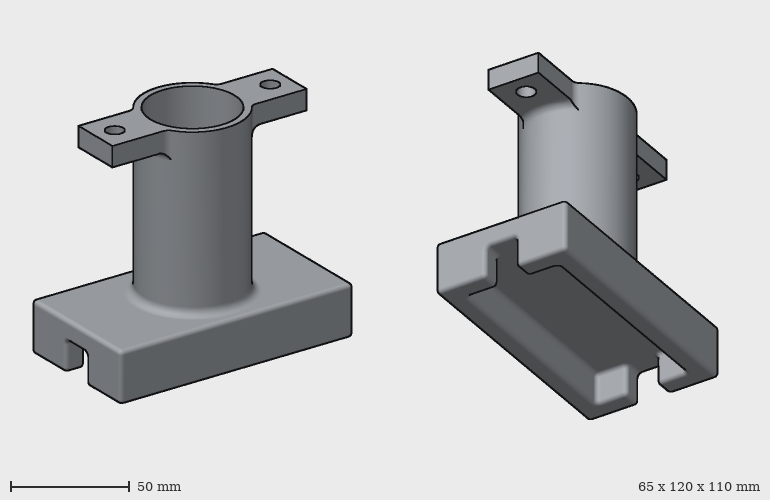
import cadquery as cq

base_length = 120.0
base_width = 65.0
base_height = 25.0
base_edge_radius = 2.0

base_wall = 10.0
pocket_depth = 15.0
slot_width = 15.0

part_height = 110.0
tube_diameter = 50.0
bore_diameter = 43.0

arm_span = 100.0
arm_width = 25.0
arm_thickness = 10.0
bolt_diameter = 8.5
bolt_spacing = 80.0

blend_radius = 4.0

tube_height = part_height - base_height
arm_underside = part_height - arm_thickness
pocket_length = base_length - 2 * base_wall
pocket_width = base_width - 2 * base_wall
selection_margin = 1.2


def standing_box(width, length, height):
    """Box centred in X and Y, standing on Z = 0."""
    return cq.Workplane("XY").box(width, length, height, centered=(True, True, False))


def make_base():
    """Block hollowed from below, slotted through both end walls, with every edge rounded."""
    pocket = standing_box(pocket_width, pocket_length, pocket_depth)
    slot = standing_box(slot_width, base_length, pocket_depth)
    block = standing_box(base_width, base_length, base_height)
    return block.cut(pocket.union(slot)).edges().fillet(base_edge_radius)


def make_tube_with_arms():
    """Solid tube body joined to the arm bar, with the arm roots blended into the tube."""
    tube = cq.Workplane("XY", origin=(0, 0, base_height)).circle(tube_diameter / 2).extrude(tube_height)
    arms = standing_box(arm_width, arm_span, arm_thickness).translate((0, 0, arm_underside))
    root_reach = tube_diameter / 2 + selection_margin
    arm_roots = cq.selectors.BoxSelector(
        (-root_reach, -root_reach, arm_underside - selection_margin),
        (root_reach, root_reach, part_height - selection_margin),
    )
    return tube.union(arms).edges(arm_roots).fillet(blend_radius)


def blend_tube_foot(body):
    """Round the corner where the tube stands on the base."""
    reach = tube_diameter / 2
    tube_foot = cq.selectors.BoxSelector(
        (-reach, -reach, base_height - selection_margin),
        (reach, reach, base_height + selection_margin),
    )
    return body.edges("%CIRCLE").edges(tube_foot).fillet(blend_radius)


def make_holes():
    """Blind bore down to the top of the base, and a bolt hole through each arm."""
    bore = cq.Workplane("XY", origin=(0, 0, base_height)).circle(bore_diameter / 2).extrude(tube_height)
    bolt_holes = (
        cq.Workplane("XY", origin=(0, 0, arm_underside))
        .pushPoints([(0, -bolt_spacing / 2), (0, bolt_spacing / 2)])
        .circle(bolt_diameter / 2)
        .extrude(arm_thickness)
    )
    return bore.union(bolt_holes)


body = blend_tube_foot(make_base().union(make_tube_with_arms()))
result = body.cut(make_holes())